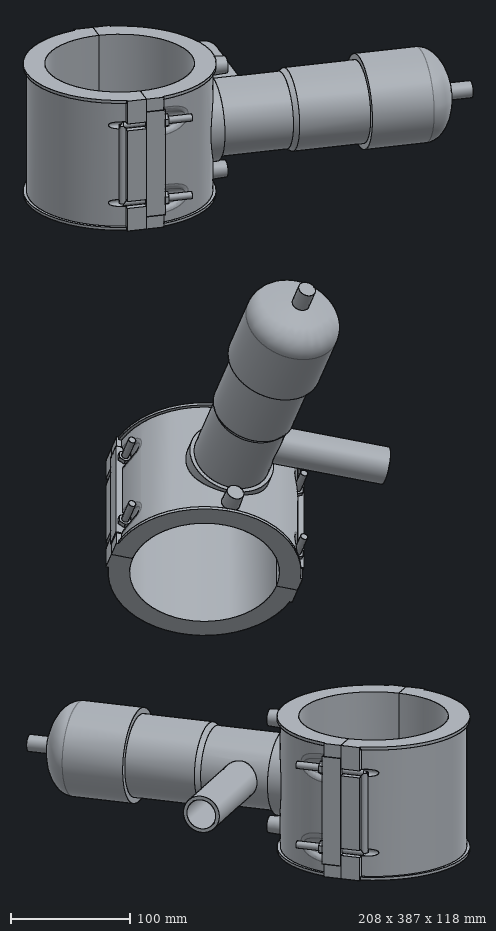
import cadquery as cq
import math

RING_HEIGHT = 118.0
BORE_RADIUS = 62.5
RING_RADIUS = 78.0
RIM_RADIUS = 81.0
RIM_HEIGHT = 2.7

EAR_HALF_SPAN = 81.3
LOWER_EAR_LENGTH = 16.5
UPPER_EAR_LENGTH = 15.0
PLATE_HALF_SPAN = 82.0
PLATE_LENGTH = 16.3
PLATE_HEIGHT = 95.2

ROD_DIAMETER = 6.0
ROD_X = 75.0
ROD_Z = 35.2
ROD_END_Y = 41.0
CROSSBAR_Y = -19.0
NUT_ACROSS_FLATS = 10.0
NUT_HEIGHT = 4.0
POCKET_DIAMETER = 14.7
POCKET_START_Y = 8.0
POCKET_EDGE_FILLET = 6.0

COLLAR_DIAMETER = 73.0
COLLAR_END_Y = 81.3
NECK_DIAMETER = 65.8
NECK_END_Y = 142.0
SLEEVE_DIAMETER = 71.0
SLEEVE_START_Y = 146.5
SLEEVE_END_Y = 208.5
CAP_DIAMETER = 81.3
CAP_END_Y = 262.5
DOME_HEIGHT = 24.8
TIP_DIAMETER = 14.7
OVERALL_LENGTH = 387.0
TIP_END_Y = OVERALL_LENGTH - RIM_RADIUS

PIPE_DIAMETER = 32.0
PIPE_BORE_DIAMETER = 25.5
PIPE_Y = 108.0
OVERALL_WIDTH = 208.0
PIPE_END_X = PLATE_HALF_SPAN - OVERALL_WIDTH

STUD_TIP_DIAMETER = 14.7
STUD_ROOT_DIAMETER = 17.5
STUD_Z = 47.2
STUD_END_Y = 92.5

SIDES = (-1, 1)


def y_cylinder(diameter, x, z, start_y, end_y):
    """Cylinder along Y between two Y positions."""
    return (
        cq.Workplane("XZ", origin=(x, start_y, z))
        .circle(diameter / 2)
        .extrude(start_y - end_y)
    )


def box_between(x_span, y_start, y_end, height):
    """Box centred on X and Z that runs between two Y positions."""
    middle_y = (y_start + y_end) / 2
    return cq.Workplane("XY", origin=(0, middle_y, 0)).box(x_span, y_end - y_start, height)


def ring_disc(radius, height, z=0.0):
    """Disc on the ring axis, centred at height z."""
    return cq.Workplane("XY", origin=(0, 0, z - height / 2)).circle(radius).extrude(height)


def half_space(side):
    """Large block on one side (+1 or -1) of the split plane."""
    size = 4 * RIM_RADIUS
    return cq.Workplane("XY").box(size, size, size).translate((0, side * size / 2, 0))


def add_rims_and_ears(ring, ear_length):
    """Ring with its end rims and flat ears added."""
    for end in SIDES:
        rim_z = end * (RING_HEIGHT - RIM_HEIGHT) / 2
        ring = ring.union(ring_disc(RIM_RADIUS, RIM_HEIGHT, rim_z))
    return ring.union(box_between(2 * EAR_HALF_SPAN, -ear_length, ear_length, RING_HEIGHT))


def ring_with_nut_pockets():
    """Unbored ring with a rounded-edge pocket around each U-bolt leg."""
    ring = ring_disc(RING_RADIUS, RING_HEIGHT)
    for x_side in SIDES:
        for z_side in SIDES:
            pocket = y_cylinder(
                POCKET_DIAMETER, x_side * ROD_X, z_side * ROD_Z, POCKET_START_Y, RING_RADIUS
            )
            ring = ring.cut(pocket)
    mouths = [edge for edge in ring.edges().vals() if edge.geomType() not in ("LINE", "CIRCLE")]
    return ring.newObject(mouths).fillet(POCKET_EDGE_FILLET)


def barrel():
    """Stepped round barrel with a domed cap and a tip, revolved about Y."""
    profile = (
        cq.Workplane("XY")
        .lineTo(COLLAR_DIAMETER / 2, 0)
        .lineTo(COLLAR_DIAMETER / 2, COLLAR_END_Y)
        .lineTo(NECK_DIAMETER / 2, COLLAR_END_Y)
        .lineTo(NECK_DIAMETER / 2, NECK_END_Y)
        .lineTo(SLEEVE_DIAMETER / 2, SLEEVE_START_Y)
        .lineTo(SLEEVE_DIAMETER / 2, SLEEVE_END_Y)
        .lineTo(CAP_DIAMETER / 2, SLEEVE_END_Y)
        .lineTo(CAP_DIAMETER / 2, CAP_END_Y)
        .ellipseArc(CAP_DIAMETER / 2, DOME_HEIGHT, 0, 90, startAtCurrent=True)
        .close()
    )
    body = profile.revolve(360, (0, 0, 0), (0, 1, 0))
    return body.union(y_cylinder(TIP_DIAMETER, 0, 0, CAP_END_Y, TIP_END_Y))


def side_pipe(diameter):
    """Cylinder from the barrel axis to the open end of the side pipe."""
    return cq.Workplane("YZ", origin=(0, PIPE_Y, 0)).circle(diameter / 2).extrude(PIPE_END_X)


def nut(x, z):
    """Hexagon nut on the clamping plate with two of its flats facing along X."""
    across_corners = NUT_ACROSS_FLATS / math.cos(math.pi / 6)
    return (
        cq.Workplane("XZ", origin=(x, PLATE_LENGTH, z))
        .transformed(rotate=(0, 0, 90))
        .polygon(6, across_corners)
        .extrude(-NUT_HEIGHT)
    )


def stud(z):
    """Tapered stud that stands on the ring opposite the lower half."""
    profile = (
        cq.Workplane("XY", origin=(0, 0, z))
        .moveTo(0, BORE_RADIUS)
        .lineTo(STUD_ROOT_DIAMETER / 2, BORE_RADIUS)
        .lineTo(STUD_TIP_DIAMETER / 2, STUD_END_Y)
        .lineTo(0, STUD_END_Y)
        .close()
    )
    return profile.revolve(360, (0, 0, 0), (0, 1, 0))


def make_upper_half():
    """Half with the barrel, side pipe, studs, clamping plates and nuts."""
    body = add_rims_and_ears(ring_with_nut_pockets(), UPPER_EAR_LENGTH)
    body = body.union(box_between(2 * PLATE_HALF_SPAN, 0, PLATE_LENGTH, PLATE_HEIGHT))
    body = body.intersect(half_space(1))
    for x_side in SIDES:
        for z_side in SIDES:
            x = x_side * ROD_X
            z = z_side * ROD_Z
            body = body.union(y_cylinder(ROD_DIAMETER, x, z, 0, ROD_END_Y))
            body = body.union(nut(x, z))
    for z_side in SIDES:
        body = body.union(stud(z_side * STUD_Z))
    body = body.union(barrel()).union(side_pipe(PIPE_DIAMETER))
    body = body.cut(side_pipe(PIPE_BORE_DIAMETER))
    return body.cut(ring_disc(BORE_RADIUS, RING_HEIGHT))


def u_bolt_bend(x):
    """Two legs and the crossbar of one U-bolt below the split plane."""
    path = cq.Workplane("YZ", origin=(x, 0, 0)).polyline(
        [(0, ROD_Z), (CROSSBAR_Y, ROD_Z), (CROSSBAR_Y, -ROD_Z), (0, -ROD_Z)]
    )
    section = cq.Workplane("XZ", origin=(x, 0, ROD_Z)).circle(ROD_DIAMETER / 2)
    return section.sweep(path, transition="round")


def leg_slot(x_side, z):
    """Round-bottomed slot for one leg, open to the outside and to the split plane."""
    x = x_side * ROD_X
    length = RING_RADIUS / 2
    floor = y_cylinder(ROD_DIAMETER, x, z, -length, 0)
    mouth_centre = (x + x_side * ROD_DIAMETER, -length / 2, z)
    mouth = cq.Workplane("XY", origin=mouth_centre).box(2 * ROD_DIAMETER, length, ROD_DIAMETER)
    return floor.union(mouth)


def make_lower_half():
    """Plain half with slotted ears that hold the U-bolt bends."""
    body = add_rims_and_ears(ring_disc(RING_RADIUS, RING_HEIGHT), LOWER_EAR_LENGTH)
    body = body.intersect(half_space(-1)).cut(ring_disc(BORE_RADIUS, RING_HEIGHT))
    for x_side in SIDES:
        for z_side in SIDES:
            body = body.cut(leg_slot(x_side, z_side * ROD_Z))
        body = body.union(u_bolt_bend(x_side * ROD_X))
    return body


upper_half = make_upper_half()
lower_half = make_lower_half()
result = cq.Compound.makeCompound([upper_half.val(), lower_half.val()])